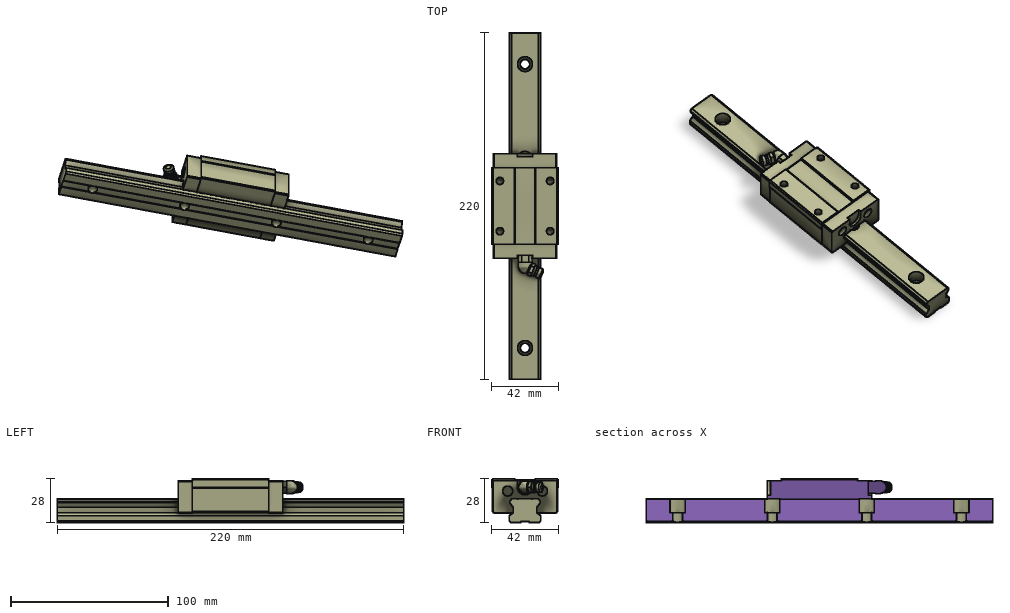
import cadquery as cq
import math


OVERCUT = 2.2

RAIL_LENGTH = 220.0
RAIL_HEIGHT = 15.0
RAIL_WIDTH = 20.0
RAIL_HALF_FOOT = RAIL_WIDTH / 2
RAIL_HALF_WAIST = 7.5
RAIL_HALF_HEAD = 9.7
RAIL_HALF_TOP = 8.4
RAIL_FOOT_CHAMFER = 1.0
RAIL_FOOT_TOP = 4.5
RAIL_WAIST_BOTTOM = 6.4
RAIL_WAIST_TOP = 9.7
RAIL_HEAD_BOTTOM = 12.5
RAIL_HEAD_TOP = RAIL_HEIGHT - (RAIL_HALF_HEAD - RAIL_HALF_TOP)
RELIEF_WIDTH = 5.3
RELIEF_DEPTH = 0.7

RAIL_HOLE_PITCH = 60.0
RAIL_HOLE_COUNT = 4
RAIL_HOLE_DIAMETER = 6.0
COUNTERBORE_DIAMETER = 9.5
COUNTERBORE_DEPTH = 8.5

CARRIAGE_TOP = 28.0
CARRIAGE_BOTTOM = 6.0
BLOCK_WIDTH = 42.0
BLOCK_LENGTH = 48.5
BLOCK_BOTTOM = 6.5
BLOCK_TOP_CHAMFER = 0.9
BLOCK_BOTTOM_CHAMFER = 0.7
SIDE_STEP_BOTTOM = 21.8
SIDE_STEP_TOP = 22.5
SIDE_STEP = 0.2
TOP_GROOVE_WIDTH = 13.6
TOP_GROOVE_FLOOR_WIDTH = 12.3
TOP_GROOVE_DEPTH = 0.7

TAPPED_HOLE_PITCH = 32.0
TAPPED_HOLE_DIAMETER = 4.6
TAPPED_HOLE_DEPTH = 7.0
DRILL_POINT_ANGLE = 118.0

CARRIAGE_LENGTH = 66.5
CAP_WIDTH = 40.5
CAP_TOP = 26.6
CAP_CHAMFER = 0.7
CAP_HOLE_SPACING = 22.0
CAP_HOLE_HEIGHT = 20.0
CAP_HOLE_DIAMETER = 6.4
CAP_LENGTH = (CARRIAGE_LENGTH - BLOCK_LENGTH) / 2

RECESS_RADIUS = 4.8
RECESS_DEPTH = 2.0

NIPPLE_HEIGHT = 22.5
BASE_HEX_FLATS = 7.7
BASE_HEX_LENGTH = 4.5
COLLAR_RADIUS = 4.2
COLLAR_LENGTH = 2.9
ELBOW_RADIUS = 4.2
SPOUT_ANGLE = 24.0
SPOUT_HEX_FLATS = 7.0
SPOUT_HEX_START = 3.3
SPOUT_HEX_END = 5.7
SPOUT_FLANGE_END = 7.3
SPOUT_NECK_END = 8.5
SPOUT_HEAD_END = 11.0
SPOUT_TIP_END = 11.9
SPOUT_FLANGE_RADIUS = 3.3
SPOUT_NECK_RADIUS = 2.9
SPOUT_TIP_RADIUS = 1.8


def bar_along_y(outline, length):
    """Extrude an X-Z outline along Y, centred on Y = 0."""
    return cq.Workplane("XZ").polyline(outline).close().extrude(length / 2, both=True)


def mirrored(right_side):
    """Close a list of right-hand points with their mirror images across X = 0."""
    return right_side + [(-x, z) for x, z in reversed(right_side)]


def hex_corner_diameter(across_flats):
    return across_flats / math.cos(math.radians(30))


def make_rail_bar():
    half_relief = RELIEF_WIDTH / 2
    outline = mirrored([
        (half_relief, RELIEF_DEPTH),
        (half_relief, 0),
        (RAIL_HALF_FOOT - RAIL_FOOT_CHAMFER, 0),
        (RAIL_HALF_FOOT, RAIL_FOOT_CHAMFER),
        (RAIL_HALF_FOOT, RAIL_FOOT_TOP),
        (RAIL_HALF_WAIST, RAIL_WAIST_BOTTOM),
        (RAIL_HALF_WAIST, RAIL_WAIST_TOP),
        (RAIL_HALF_HEAD, RAIL_HEAD_BOTTOM),
        (RAIL_HALF_HEAD, RAIL_HEAD_TOP),
        (RAIL_HALF_TOP, RAIL_HEIGHT),
    ])
    return bar_along_y(outline, RAIL_LENGTH)


def make_rail():
    return (
        make_rail_bar()
        .faces(">Z").workplane(origin=(0, 0, RAIL_HEIGHT))
        .rarray(2.2, RAIL_HOLE_PITCH, 1, RAIL_HOLE_COUNT)
        .cboreHole(RAIL_HOLE_DIAMETER, COUNTERBORE_DIAMETER, COUNTERBORE_DEPTH)
    )


def make_block():
    half_width = BLOCK_WIDTH / 2
    lower_half_width = half_width - SIDE_STEP
    groove_floor = CARRIAGE_TOP - TOP_GROOVE_DEPTH
    outline = mirrored([
        (lower_half_width - BLOCK_BOTTOM_CHAMFER, BLOCK_BOTTOM),
        (lower_half_width, BLOCK_BOTTOM + BLOCK_BOTTOM_CHAMFER),
        (lower_half_width, SIDE_STEP_BOTTOM),
        (half_width, SIDE_STEP_TOP),
        (half_width, CARRIAGE_TOP - BLOCK_TOP_CHAMFER),
        (half_width - BLOCK_TOP_CHAMFER, CARRIAGE_TOP),
        (TOP_GROOVE_WIDTH / 2, CARRIAGE_TOP),
        (TOP_GROOVE_FLOOR_WIDTH / 2, groove_floor),
    ])
    return bar_along_y(outline, BLOCK_LENGTH)


def make_tapped_holes():
    radius = TAPPED_HOLE_DIAMETER / 2
    point_depth = radius / math.tan(math.radians(DRILL_POINT_ANGLE / 2))
    hole = (
        cq.Workplane("XZ")
        .moveTo(0, OVERCUT)
        .lineTo(radius, OVERCUT)
        .lineTo(radius, -TAPPED_HOLE_DEPTH)
        .lineTo(0, -TAPPED_HOLE_DEPTH - point_depth)
        .close()
        .revolve(360, (0, 0), (0, 1))
        .val()
    )
    return (
        cq.Workplane("XY", origin=(0, 0, CARRIAGE_TOP))
        .rarray(TAPPED_HOLE_PITCH, TAPPED_HOLE_PITCH, 2, 2)
        .eachpoint(lambda place: hole.moved(place))
    )


def make_end_cap():
    """The -Y end cap with its two blind holes and the U-shaped nipple recess."""
    cap_height = CAP_TOP - CARRIAGE_BOTTOM
    end_face = -CARRIAGE_LENGTH / 2
    cap = (
        cq.Workplane("XY", origin=(0, end_face + CAP_LENGTH / 2, CARRIAGE_BOTTOM))
        .box(CAP_WIDTH, CAP_LENGTH, cap_height, centered=(True, True, False))
        .edges("|Y")
        .chamfer(CAP_CHAMFER)
    )
    holes = (
        cq.Workplane("XZ", origin=(0, end_face, CAP_HOLE_HEIGHT))
        .rarray(CAP_HOLE_SPACING, 2.2, 2, 1)
        .circle(CAP_HOLE_DIAMETER / 2)
        .extrude(-CAP_LENGTH)
    )
    recess = (
        cq.Workplane("XZ", origin=(0, end_face, NIPPLE_HEIGHT))
        .moveTo(-RECESS_RADIUS, CARRIAGE_TOP - NIPPLE_HEIGHT)
        .lineTo(-RECESS_RADIUS, 0)
        .threePointArc((0, -RECESS_RADIUS), (RECESS_RADIUS, 0))
        .lineTo(RECESS_RADIUS, CARRIAGE_TOP - NIPPLE_HEIGHT)
        .close()
        .extrude(-RECESS_DEPTH)
    )
    return cap.cut(holes).cut(recess)


def make_carriage():
    front_cap = make_end_cap()
    back_cap = front_cap.mirror("XZ")
    block = make_block().cut(make_tapped_holes())
    return block.union(front_cap).union(back_cap).cut(make_rail_bar())


def make_nipple():
    base_y = -CARRIAGE_LENGTH / 2 + RECESS_DEPTH
    collar_y = base_y - BASE_HEX_LENGTH
    elbow_y = collar_y - COLLAR_LENGTH

    base_hex = (
        cq.Workplane("XZ", origin=(0, base_y, NIPPLE_HEIGHT))
        .polygon(6, hex_corner_diameter(BASE_HEX_FLATS))
        .extrude(BASE_HEX_LENGTH)
    )
    collar = (
        cq.Workplane("XZ", origin=(0, collar_y, NIPPLE_HEIGHT))
        .circle(COLLAR_RADIUS)
        .extrude(COLLAR_LENGTH)
    )
    elbow = cq.Workplane("XY", origin=(0, elbow_y, NIPPLE_HEIGHT)).sphere(ELBOW_RADIUS)
    spout = (
        make_spout()
        .rotate((0, 0, 0), (0, 0, 1), -SPOUT_ANGLE)
        .translate((0, elbow_y, NIPPLE_HEIGHT))
    )
    return base_hex.union(collar).union(elbow).union(spout)


def make_spout():
    """The nipple's spout along +X, starting from the elbow's centre."""
    spout_hex = (
        cq.Workplane("YZ", origin=(SPOUT_HEX_START, 0, 0))
        .polygon(6, hex_corner_diameter(SPOUT_HEX_FLATS))
        .extrude(SPOUT_HEX_END - SPOUT_HEX_START)
    )
    turned_end = (
        cq.Workplane("XY")
        .polyline([
            (0, 0),
            (0, SPOUT_FLANGE_RADIUS),
            (SPOUT_FLANGE_END, SPOUT_FLANGE_RADIUS),
            (SPOUT_FLANGE_END, SPOUT_NECK_RADIUS),
            (SPOUT_NECK_END, SPOUT_NECK_RADIUS),
            (SPOUT_NECK_END, SPOUT_FLANGE_RADIUS),
            (SPOUT_HEAD_END, SPOUT_FLANGE_RADIUS),
            (SPOUT_TIP_END, SPOUT_TIP_RADIUS),
            (SPOUT_TIP_END, 0),
        ])
        .close()
        .revolve(360, (0, 0), (1, 0))
    )
    return turned_end.union(spout_hex)


rail = make_rail()
carriage = make_carriage()
nipple = make_nipple()

result = cq.Compound.makeCompound([rail.val(), carriage.val(), nipple.val()])